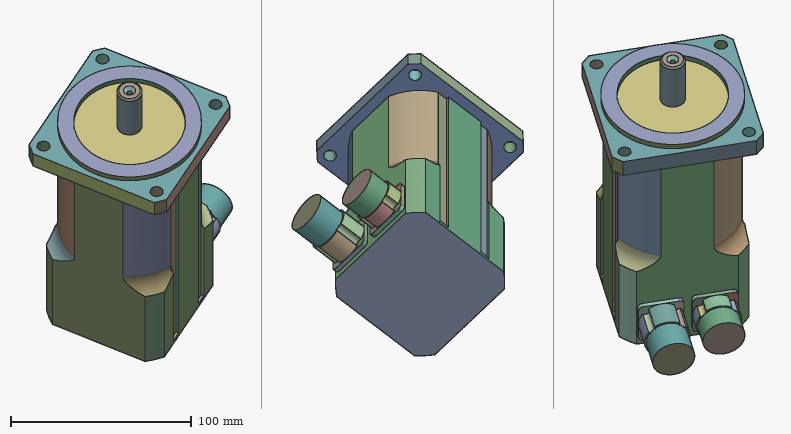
import cadquery as cq
import math

total_height = 180.0
pilot_top = 153.0
pilot_height = 3.2
flange_top = pilot_top - pilot_height
flange_thickness = 10.6
flange_bottom = flange_top - flange_thickness

flange_width = 86.0
flange_chamfer = 5.0
bolt_hole_diameter = 7.0
bolt_circle_diameter = 100.0
pilot_diameter = 80.0
pilot_recess_diameter = 62.0
pilot_recess_depth = pilot_height

body_width = 74.0
lower_corner_radius = 47.0
upper_corner_radius = pilot_diameter / 2
corner_fillet_radius = 10.0
corner_fillet_top = 66.0

groove_inner = 12.0
groove_outer = 18.2
groove_depth = 1.6
groove_bottom = 2.7

shaft_diameter = 14.0
shaft_chamfer = 1.0
center_hole_diameter = 6.7
center_drill_diameter = 2.7
center_hole_angle = 90.0
center_drill_depth = 3.6

connector_spacing = 30.8
connector_height = 18.0
barrel_diameter = 24.0
base_width = 26.0
base_corner_radius = 2.7
collar_diameter = base_width
scallop_radius = 2.3
scallop_count = 4
scallop_start_angle = 45.0
base_end = 39.6
short_collar_end = 48.5
short_tip = 61.0
tall_collar_end = 54.5
tall_tip = 71.0


def make_block():
    """Square block trimmed by a turned profile with a concave fillet between two radii."""
    radius_step = lower_corner_radius - upper_corner_radius
    fillet_center_radius = upper_corner_radius + corner_fillet_radius
    fillet_drop = math.sqrt(corner_fillet_radius**2 - (corner_fillet_radius - radius_step) ** 2)
    fillet_bottom = corner_fillet_top - fillet_drop
    half_angle = math.asin(fillet_drop / corner_fillet_radius) / 2
    fillet_middle = (
        fillet_center_radius - corner_fillet_radius * math.cos(half_angle),
        corner_fillet_top - corner_fillet_radius * math.sin(half_angle),
    )
    envelope = (
        cq.Workplane("XZ")
        .lineTo(lower_corner_radius, 0)
        .lineTo(lower_corner_radius, fillet_bottom)
        .threePointArc(fillet_middle, (upper_corner_radius, corner_fillet_top))
        .lineTo(upper_corner_radius, flange_bottom)
        .lineTo(0, flange_bottom)
        .close()
        .revolve(360, (0, 0), (0, 1))
    )
    square = cq.Workplane("XY").rect(body_width, body_width).extrude(flange_bottom)
    return square.intersect(envelope)


def make_side_grooves():
    """Four upright grooves, two on each X face, running up to the flange."""
    groove_width = groove_outer - groove_inner
    groove_offset = (groove_outer + groove_inner) / 2
    face_offset = body_width / 2
    places = [(x, y) for x in (-face_offset, face_offset) for y in (-groove_offset, groove_offset)]
    return (
        cq.Workplane("XY", origin=(0, 0, groove_bottom))
        .pushPoints(places)
        .rect(2 * groove_depth, groove_width)
        .extrude(flange_bottom - groove_bottom)
    )


def make_flange():
    """Square flange with chamfered corners and a round pilot on top."""
    return (
        cq.Workplane("XY", origin=(0, 0, flange_bottom))
        .rect(flange_width, flange_width)
        .extrude(flange_thickness)
        .edges("|Z")
        .chamfer(flange_chamfer)
        .faces(">Z")
        .workplane()
        .circle(pilot_diameter / 2)
        .extrude(pilot_height)
    )


def make_pilot_recess():
    """Round recess in the pilot, down to the level of the flange top."""
    return (
        cq.Workplane("XY", origin=(0, 0, pilot_top - pilot_recess_depth))
        .circle(pilot_recess_diameter / 2)
        .extrude(pilot_recess_depth)
    )


def make_bolt_holes():
    """Four holes near the flange corners, through the flange only."""
    pitch = bolt_circle_diameter / math.sqrt(2)
    return (
        cq.Workplane("XY", origin=(0, 0, flange_bottom))
        .rect(pitch, pitch, forConstruction=True)
        .vertices()
        .circle(bolt_hole_diameter / 2)
        .extrude(flange_thickness)
    )


def make_shaft():
    """Chamfered shaft with a center hole in its end: a cone leading into a small drilled bore."""
    shaft_base = flange_bottom
    shaft = (
        cq.Workplane("XY", origin=(0, 0, shaft_base))
        .circle(shaft_diameter / 2)
        .extrude(total_height - shaft_base)
        .faces(">Z")
        .chamfer(shaft_chamfer)
    )
    hole_radius = center_hole_diameter / 2
    drill_radius = center_drill_diameter / 2
    cone_depth = (hole_radius - drill_radius) / math.tan(math.radians(center_hole_angle / 2))
    cone_tip_height = total_height - cone_depth
    cone = cq.Solid.makeCone(
        drill_radius, hole_radius, cone_depth, pnt=cq.Vector(0, 0, cone_tip_height)
    )
    drill = (
        cq.Workplane("XY", origin=(0, 0, cone_tip_height))
        .circle(drill_radius)
        .extrude(-center_drill_depth)
    )
    return shaft.cut(cq.Workplane(cone)).cut(drill)


def make_motor():
    """Block, flange and shaft as one solid."""
    block = make_block().cut(make_side_grooves())
    flange = make_flange().cut(make_pilot_recess()).cut(make_bolt_holes())
    return block.union(flange).union(make_shaft())


def place_section(x_place, y_start):
    """Sketch plane on a connector axis, facing +Y."""
    return cq.Workplane(
        cq.Plane(origin=(x_place, y_start, connector_height), xDir=(1, 0, 0), normal=(0, 1, 0))
    )


def make_connector(x_place, collar_end, tip):
    """Connector pointing along +Y: square base, scalloped collar and plain barrel."""
    face = body_width / 2
    base = (
        place_section(x_place, face)
        .rect(base_width, base_width)
        .extrude(base_end - face)
        .edges("|Y")
        .fillet(base_corner_radius)
    )
    collar_length = collar_end - base_end
    scallops = (
        place_section(x_place, base_end)
        .polarArray(collar_diameter / 2, scallop_start_angle, 360, scallop_count)
        .circle(scallop_radius)
        .extrude(collar_length)
    )
    collar = (
        place_section(x_place, base_end)
        .circle(collar_diameter / 2)
        .extrude(collar_length)
        .cut(scallops)
    )
    barrel = (
        place_section(x_place, collar_end)
        .circle(barrel_diameter / 2)
        .extrude(tip - collar_end)
    )
    return base.union(collar).union(barrel)


motor = make_motor()
short_connector = make_connector(-connector_spacing / 2, short_collar_end, short_tip)
tall_connector = make_connector(connector_spacing / 2, tall_collar_end, tall_tip)

result = cq.Compound.makeCompound([motor.val(), short_connector.val(), tall_connector.val()])